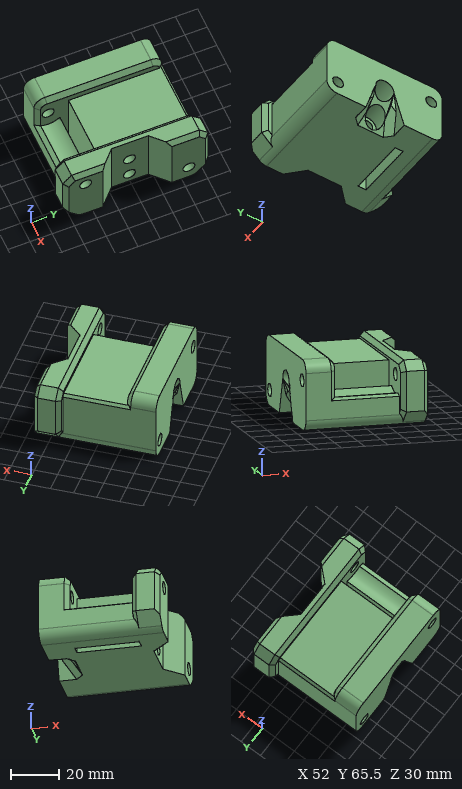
import cadquery as cq
import math

length = 52.0
height = 30.0
body_half_width = 28.8
body_radius = 5.0
edge_chamfer = 1.95

plate_thickness = 13.05
plate_chamfer = 2.1

flange_half_width = 32.75
flange_height = 28.05
flange_thickness = 11.7
flange_corner = 4.0
flange_start = length - flange_thickness

notch_depth = 7.65
notch_mouth_half = 15.5
notch_floor_half = 8.25

block_height = height - body_radius
block_side = -14.1
block_chamfer = 1.2
slot_width = 3.9
trough_side = block_side - slot_width
trough_radius = 8.0
lip_inner = -26.65
lip_outer_height = 12.8

hole_diameter = 5.3
counterbore_diameter = 9.0
rod_y = 23.25
upper_rod = (-rod_y, 21.0)
lower_rod = (rod_y, 6.75)
bolt_y = -0.2
upper_bolt = (bolt_y, 15.8)
lower_bolt = (bolt_y, 5.25)

recess_depth = 10.75
recess_half_width = 9.55
steep_pyramid = 17.1
shallow_pyramid = 20.3
shallow_pyramid_depth = 8.1


def trough_height(y):
    """Height of the trough surface at the given Y."""
    return upper_rod[1] - math.sqrt(trough_radius**2 - (y - upper_rod[0]) ** 2)


def cylinder_along_x(center, diameter, depth):
    return cq.Workplane("YZ").center(*center).circle(diameter / 2).extrude(depth)


def make_plate():
    plate = (
        cq.Workplane("YZ")
        .center(0, height / 2)
        .rect(2 * body_half_width, height)
        .extrude(plate_thickness)
        .edges("|X")
        .fillet(body_radius)
    )
    return plate.faces(">X").edges().chamfer(plate_chamfer)


def make_core():
    """Lower body with the central block and the open trough, running the full length."""
    core = (
        cq.Workplane("YZ")
        .moveTo(body_half_width, 0)
        .lineTo(body_half_width, block_height - block_chamfer)
        .lineTo(body_half_width - block_chamfer, block_height)
        .lineTo(block_side, block_height)
        .lineTo(block_side, trough_height(trough_side))
        .lineTo(trough_side, trough_height(trough_side))
        .threePointArc(
            (upper_rod[0], upper_rod[1] - trough_radius),
            (lip_inner, trough_height(lip_inner)),
        )
        .lineTo(-body_half_width, lip_outer_height)
        .lineTo(-body_half_width, 0)
        .close()
        .extrude(length)
    )
    return core.edges("|X and <Z").fillet(body_radius)


def make_flange():
    blank = (
        cq.Workplane("YZ", origin=(flange_start, 0, 0))
        .center(0, flange_height / 2)
        .rect(2 * flange_half_width, flange_height)
        .extrude(flange_thickness)
        .edges("|X and >Z")
        .chamfer(flange_corner)
    )
    blank = blank.faces(">X").edges("not <Z").chamfer(edge_chamfer)

    bottom_half_width = body_half_width - (2 - math.sqrt(2)) * body_radius
    under_rise = flange_half_width - bottom_half_width
    envelope = (
        cq.Workplane("YZ", origin=(flange_start, 0, 0))
        .polyline(
            [
                (-bottom_half_width, 0),
                (bottom_half_width, 0),
                (flange_half_width, under_rise),
                (flange_half_width, height),
                (-flange_half_width, height),
                (-flange_half_width, under_rise),
            ]
        )
        .close()
        .extrude(flange_thickness)
        .edges("|X and <Z")
        .fillet(body_radius)
    )
    return blank.intersect(envelope).faces("<X").edges().chamfer(edge_chamfer)


def make_notch():
    return (
        cq.Workplane("XY")
        .polyline(
            [
                (length, notch_mouth_half),
                (length - notch_depth, notch_floor_half),
                (length - notch_depth, -notch_floor_half),
                (length, -notch_mouth_half),
            ]
        )
        .close()
        .extrude(height)
    )


def make_slot():
    slot_length = flange_start - plate_thickness
    return cq.Workplane("XY").box(slot_length, slot_width, height, centered=False).translate(
        (plate_thickness, trough_side, 0)
    )


def make_pyramid(depth, size):
    """Pyramid on Z = 0 with its upright back on X = 0, reaching size along Y and Z."""
    left = cq.Vector(0, size, 0)
    right = cq.Vector(0, -size, 0)
    tip = cq.Vector(depth, 0, 0)
    peak = cq.Vector(0, 0, size)
    corners = [(left, right, tip), (left, right, peak), (left, tip, peak), (right, tip, peak)]
    faces = [cq.Face.makeFromWires(cq.Wire.makePolygon(points, close=True)) for points in corners]
    return cq.Workplane(cq.Solid.makeSolid(cq.Shell.makeShell(faces)))


def make_recess():
    """Slot with a sloping floor that flares toward the bottom, and two counterbores."""
    top = upper_bolt[1]
    slot_half_width = counterbore_diameter / 2
    wedge = (
        cq.Workplane("XZ")
        .polyline([(0, 0), (recess_depth, 0), (0, top)])
        .close()
        .extrude(recess_half_width, both=True)
    )
    slot = cq.Workplane("YZ").rect(counterbore_diameter, 2 * top).extrude(recess_depth)
    flare = (
        cq.Workplane("YZ")
        .polyline(
            [
                (-recess_half_width, 0),
                (recess_half_width, 0),
                (slot_half_width, top),
                (-slot_half_width, top),
            ]
        )
        .close()
        .extrude(recess_depth)
    )
    pyramids = make_pyramid(steep_pyramid, steep_pyramid).union(
        make_pyramid(shallow_pyramid_depth, shallow_pyramid)
    )
    recess = wedge.intersect(slot).union(wedge.intersect(flare).intersect(pyramids))
    recess = recess.translate((0, bolt_y, 0))
    for bolt in (upper_bolt, lower_bolt):
        recess = recess.union(cylinder_along_x(bolt, counterbore_diameter, plate_thickness))
    return recess


result = make_core().union(make_plate()).union(make_flange())
result = result.cut(make_notch()).cut(make_slot()).cut(make_recess())
for hole in (upper_rod, lower_rod, upper_bolt, lower_bolt):
    result = result.cut(cylinder_along_x(hole, hole_diameter, length))